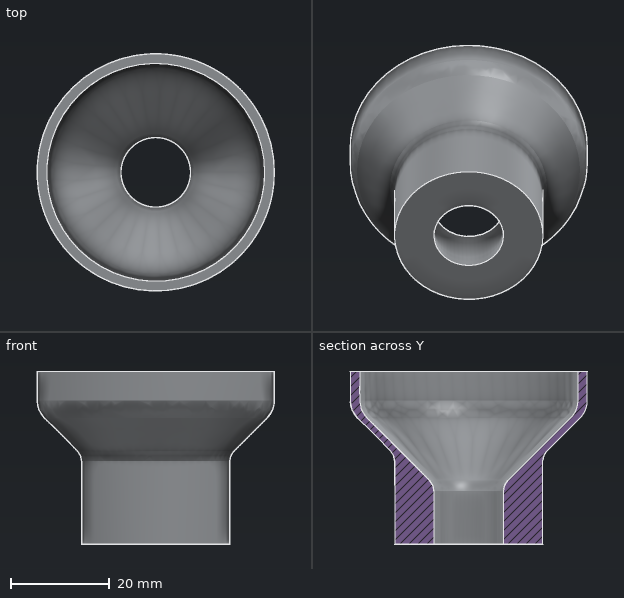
import cadquery as cq

rim_diameter = 48.0
rim_inner_diameter = 44.0
stem_diameter = 30.0
bore_diameter = 14.0
total_height = 35.0
stem_height = 18.0
shoulder_radius = 5.0
neck_radius = 3.0

rim_base = stem_height + (rim_diameter - stem_diameter) / 2


def funnel(upper_diameter, lower_diameter):
    """Solid of a cylinder, a 45-degree cone and a wider cylinder, with rounded corners."""
    upper_r = upper_diameter / 2
    lower_r = lower_diameter / 2
    cone_base = rim_base - (upper_r - lower_r)
    body = (
        cq.Workplane("XZ")
        .polyline([
            (0, 0),
            (lower_r, 0),
            (lower_r, cone_base),
            (upper_r, rim_base),
            (upper_r, total_height),
            (0, total_height),
        ])
        .close()
        .revolve(360, (0, 0, 0), (0, 1, 0))
    )
    body = body.edges("%CIRCLE").edges(">>Z[-2]").fillet(shoulder_radius)
    return body.edges("%CIRCLE").edges("<<Z[-2]").fillet(neck_radius)


outer_body = funnel(rim_diameter, stem_diameter)
flow_passage = funnel(rim_inner_diameter, bore_diameter)
result = outer_body.cut(flow_passage)